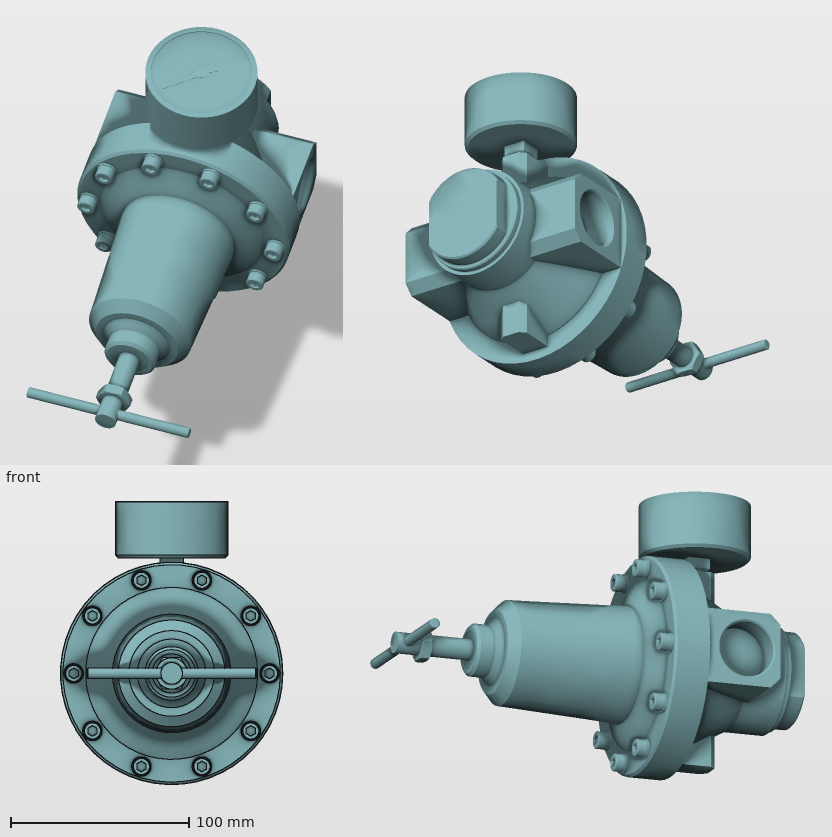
import cadquery as cq
import math


OVERALL_LENGTH = 238.0

FLANGE_R = 62.48
FLANGE_FRONT_Y = -21.0
FLANGE_CHAMFER = 1.5

CONE_BASE_R = 50.5
CONE_BASE_Y = 0.7
BARREL_R = 32.0
BARREL_START_Y = 34.3
BARREL_END_Y = 57.8
RING_R = 30.0
RING_END_Y = 61.9
RING_CHAMFER = 0.7
CAP_R = 27.5
CAP_FLATS = 46.2
CAP_END_Y = 71.9
CAP_CHAMFER = 1.0

PORT_HALF_SPAN = 58.5
PORT_BLOCK_H = 42.8
LEFT_BLOCK_END_Y = 45.7
RIGHT_BLOCK_END_Y = 43.8
PORT_BLOCK_CHAMFER = 6.0
PORT_Y = 23.8
PORT_D = 32.0
PORT_DEPTH = 17.5
PORT_CHAMFER = 1.0

GAUGE_BLOCK_HALF_H = 56.6
GAUGE_BLOCK_W = 17.1
GAUGE_BLOCK_END_Y = 24.3
GAUGE_BLOCK_CHAMFER = 3.3

BONNET_CONE_R = 48.3
BONNET_ROOT_R = 33.3
BONNET_ROOT_Y = -28.8
BONNET_TIP_R = 30.0
BONNET_TIP_Y = -101.2
BONNET_CHAMFER = 6.0
NECK_R = 15.0
NECK_FLARE = 4.3
NECK_END_Y = -121.4
NECK_CHAMFER = 1.7
NECK_RECESS_D = 22.0
NECK_RECESS_DEPTH = 0.5

SCREW_D = 12.1
SCREW_END_Y = CAP_END_Y - OVERALL_LENGTH
NUT_FLATS = 17.5
NUT_REAR_Y = -146.4
NUT_THICKNESS = 6.0
BAR_D = 6.0
BAR_LENGTH = 95.2
BAR_Y = -159.7
BAR_CHAMFER = 0.5

BOLT_COUNT = 10
BOLT_CIRCLE_R = 55.0
BOLT_HEAD_D = 10.0
BOLT_HEAD_H = 7.1
BOLT_HEAD_CHAMFER = 0.5
BOLT_SOCKET_D = 6.0
BOLT_SOCKET_DEPTH = 3.5
BOLT_COLLAR_D = 11.0
BOLT_COLLAR_H = 1.2

GAUGE_Y = 14.5
GAUGE_D = 63.0
GAUGE_BOTTOM_Z = 64.7
GAUGE_TOP_Z = 96.5
GAUGE_CHAMFER = 1.7
DIAL_D = 57.0
DIAL_DEPTH = 0.5
SHANK_W = 13.3
SHANK_BOTTOM_Z = 57.8
SHANK_CHAMFER = 1.2
SHANK_NECK_D = 11.5
NEEDLE_HEIGHT = 0.2
NEEDLE_TIP = 24.5
NEEDLE_HUB_R = 3.5
NEEDLE_WAIST_HALF_W = 1.7
NEEDLE_TAIL = 8.3
NEEDLE_TAIL_HALF_W = 3.5
NEEDLE_ANGLE = 225


def plane_at_y(y):
    """Workplane at the given Y whose normal is -Y, with local x = X and local y = Z."""
    return cq.Workplane("XZ", origin=(0, y, 0))


def corner_diameter(across_flats):
    """Diameter over the corners of a regular hexagon."""
    return across_flats / math.cos(math.pi / 6)


def turned_body():
    """Everything that is round about the main axis, from the ring to the bonnet neck."""
    bonnet_face_r = BONNET_TIP_R - BONNET_CHAMFER
    bonnet_face_y = BONNET_TIP_Y - BONNET_CHAMFER
    profile = [
        (0, RING_END_Y),
        (RING_R - RING_CHAMFER, RING_END_Y),
        (RING_R, RING_END_Y - RING_CHAMFER),
        (RING_R, BARREL_END_Y),
        (BARREL_R, BARREL_END_Y),
        (BARREL_R, BARREL_START_Y),
        (CONE_BASE_R, CONE_BASE_Y),
        (CONE_BASE_R, 0),
        (FLANGE_R, 0),
        (FLANGE_R, FLANGE_FRONT_Y + FLANGE_CHAMFER),
        (FLANGE_R - FLANGE_CHAMFER, FLANGE_FRONT_Y),
        (BONNET_CONE_R, FLANGE_FRONT_Y),
        (BONNET_ROOT_R, BONNET_ROOT_Y),
        (BONNET_TIP_R, BONNET_TIP_Y),
        (bonnet_face_r, bonnet_face_y),
        (NECK_R + NECK_FLARE, bonnet_face_y),
        (NECK_R, bonnet_face_y - NECK_FLARE),
        (NECK_R, NECK_END_Y + NECK_CHAMFER),
        (NECK_R - NECK_CHAMFER, NECK_END_Y),
        (0, NECK_END_Y),
    ]
    body = cq.Workplane("XY").polyline(profile).close().revolve(360, (0, 0), (0, 1))
    recess = plane_at_y(NECK_END_Y + NECK_RECESS_DEPTH).circle(NECK_RECESS_D / 2).extrude(NECK_RECESS_DEPTH)
    return body.cut(recess)


def bottom_cap():
    """Round cap with two wrench flats facing -X and +X."""
    length = CAP_END_Y - RING_END_Y
    cap = plane_at_y(CAP_END_Y).circle(CAP_R).extrude(length).faces(">Y").chamfer(CAP_CHAMFER)
    flats = plane_at_y(CAP_END_Y).rect(CAP_FLATS, 2 * CAP_R).extrude(length)
    return cap.intersect(flats)


def port_block(side, end_y):
    """Block from the main axis out to one side (-1 or +1) with its two rear edges chamfered."""
    return (
        cq.Workplane("XY")
        .box(PORT_HALF_SPAN, end_y, PORT_BLOCK_H)
        .translate((side * PORT_HALF_SPAN / 2, end_y / 2, 0))
        .edges("|X and >Y")
        .chamfer(PORT_BLOCK_CHAMFER)
    )


def port_bore(side):
    """Blind bore with a chamfered mouth, measured in from the side face of a port block."""
    profile = [
        (0, 0),
        (PORT_D / 2 + PORT_CHAMFER, 0),
        (PORT_D / 2, PORT_CHAMFER),
        (PORT_D / 2, PORT_DEPTH),
        (0, PORT_DEPTH),
    ]
    mouth = cq.Plane(origin=(side * PORT_HALF_SPAN, PORT_Y, 0), xDir=(0, 1, 0), normal=(0, 0, side))
    return cq.Workplane(mouth).polyline(profile).close().revolve(360, (0, 0), (0, 1))


def gauge_block():
    """Upright block reaching above and below the cone; the gauge stands on its top end."""
    return (
        cq.Workplane("XY")
        .box(GAUGE_BLOCK_W, GAUGE_BLOCK_END_Y, 2 * GAUGE_BLOCK_HALF_H)
        .translate((0, GAUGE_BLOCK_END_Y / 2, 0))
        .edges("|Z and >Y")
        .chamfer(GAUGE_BLOCK_CHAMFER)
    )


def adjusting_screw():
    """Plain round screw from the neck recess to the front end of the part."""
    root_y = NECK_END_Y + NECK_RECESS_DEPTH
    return plane_at_y(root_y).circle(SCREW_D / 2).extrude(root_y - SCREW_END_Y)


def lock_nut():
    """Hexagon nut with corners on X, both ends bevelled by 30 degrees."""
    corner_r = corner_diameter(NUT_FLATS) / 2
    face_r = NUT_FLATS / 2
    bevel = (corner_r - face_r) * math.tan(math.radians(30))
    nut_front_y = NUT_REAR_Y - NUT_THICKNESS
    prism = plane_at_y(NUT_REAR_Y).polygon(6, 2 * corner_r).extrude(NUT_THICKNESS)
    profile = [
        (0, NUT_REAR_Y),
        (face_r, NUT_REAR_Y),
        (corner_r, NUT_REAR_Y - bevel),
        (corner_r, nut_front_y + bevel),
        (face_r, nut_front_y),
        (0, nut_front_y),
    ]
    envelope = cq.Workplane("XY").polyline(profile).close().revolve(360, (0, 0), (0, 1))
    return prism.intersect(envelope)


def tommy_bar():
    """Cross bar through the front end of the screw, along X."""
    return (
        cq.Workplane("YZ", origin=(0, BAR_Y, 0))
        .circle(BAR_D / 2)
        .extrude(BAR_LENGTH / 2, both=True)
        .faces("<X or >X")
        .chamfer(BAR_CHAMFER)
    )


def bolt_centers():
    """(X, Z) places of the flange screws, starting on +X."""
    step = 2 * math.pi / BOLT_COUNT
    return [
        (BOLT_CIRCLE_R * math.cos(i * step), BOLT_CIRCLE_R * math.sin(i * step))
        for i in range(BOLT_COUNT)
    ]


def bolt_head(center):
    """Socket head screw with a low collar at its base, socket corners on Z."""
    head_front_y = FLANGE_FRONT_Y - BOLT_HEAD_H
    head = (
        plane_at_y(FLANGE_FRONT_Y)
        .circle(BOLT_HEAD_D / 2)
        .extrude(BOLT_HEAD_H)
        .faces("<Y")
        .chamfer(BOLT_HEAD_CHAMFER)
    )
    socket = (
        plane_at_y(head_front_y + BOLT_SOCKET_DEPTH)
        .polygon(6, BOLT_SOCKET_D)
        .extrude(BOLT_SOCKET_DEPTH)
        .rotate((0, 0, 0), (0, 1, 0), 90)
    )
    collar = plane_at_y(FLANGE_FRONT_Y).circle(BOLT_COLLAR_D / 2).extrude(BOLT_COLLAR_H)
    return head.union(collar).cut(socket).translate((center[0], 0, center[1]))


def make_regulator():
    """Valve body, flange, bonnet, screws and handle as one solid."""
    body = turned_body().union(bottom_cap()).union(gauge_block())
    for side, end_y in ((-1, LEFT_BLOCK_END_Y), (1, RIGHT_BLOCK_END_Y)):
        body = body.union(port_block(side, end_y)).cut(port_bore(side))
    body = body.union(adjusting_screw()).union(lock_nut()).union(tommy_bar())
    for center in bolt_centers():
        body = body.union(bolt_head(center))
    return body


def gauge_needle(base_z):
    """Pointer along local +X: tapered arm, round hub and flared tail."""
    arm = [
        (0, NEEDLE_WAIST_HALF_W),
        (NEEDLE_HUB_R, NEEDLE_WAIST_HALF_W),
        (NEEDLE_TIP, 0),
        (NEEDLE_HUB_R, -NEEDLE_WAIST_HALF_W),
        (0, -NEEDLE_WAIST_HALF_W),
    ]
    tail = [
        (0, NEEDLE_WAIST_HALF_W),
        (-NEEDLE_HUB_R, NEEDLE_WAIST_HALF_W),
        (-NEEDLE_TAIL, NEEDLE_TAIL_HALF_W),
        (-NEEDLE_TAIL, -NEEDLE_TAIL_HALF_W),
        (-NEEDLE_HUB_R, -NEEDLE_WAIST_HALF_W),
        (0, -NEEDLE_WAIST_HALF_W),
    ]
    dial = cq.Workplane("XY", origin=(0, 0, base_z))
    needle = dial.circle(NEEDLE_HUB_R).extrude(NEEDLE_HEIGHT)
    for outline in (arm, tail):
        needle = needle.union(dial.polyline(outline).close().extrude(NEEDLE_HEIGHT))
    return needle.rotate((0, 0, 0), (0, 0, 1), NEEDLE_ANGLE)


def make_gauge():
    """Gauge case, dial, needle, square shank and round neck, standing on the gauge block."""
    case = (
        cq.Workplane("XY", origin=(0, 0, GAUGE_BOTTOM_Z))
        .circle(GAUGE_D / 2)
        .extrude(GAUGE_TOP_Z - GAUGE_BOTTOM_Z)
        .faces("<Z")
        .chamfer(GAUGE_CHAMFER)
    )
    dial_z = GAUGE_TOP_Z - DIAL_DEPTH
    dial_recess = cq.Workplane("XY", origin=(0, 0, dial_z)).circle(DIAL_D / 2).extrude(DIAL_DEPTH)
    shank = (
        cq.Workplane("XY", origin=(0, 0, SHANK_BOTTOM_Z))
        .rect(SHANK_W, SHANK_W)
        .extrude(GAUGE_BOTTOM_Z - SHANK_BOTTOM_Z)
        .faces("<Z")
        .chamfer(SHANK_CHAMFER)
    )
    neck = (
        cq.Workplane("XY", origin=(0, 0, GAUGE_BLOCK_HALF_H))
        .circle(SHANK_NECK_D / 2)
        .extrude(SHANK_BOTTOM_Z - GAUGE_BLOCK_HALF_H)
    )
    gauge = case.cut(dial_recess).union(gauge_needle(dial_z)).union(shank).union(neck)
    return gauge.translate((0, GAUGE_Y, 0))


regulator = make_regulator()
gauge = make_gauge()

result = cq.Compound.makeCompound([regulator.val(), gauge.val()])